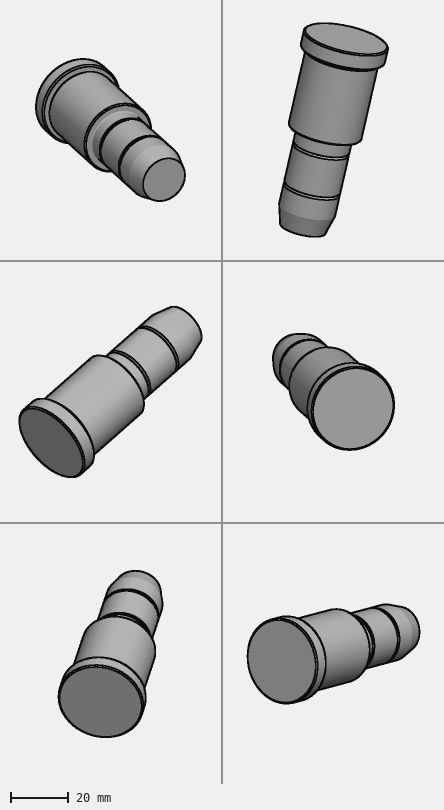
import cadquery as cq
import math

total_length = 71.0
head_diameter = 30.0
head_length = 6.0
body_diameter = 26.0
shoulder_x = 35.0
pilot_diameter = 20.0
edge_size = 0.5
head_back_chamfer = 0.6

taper_start_x = 64.0
taper_angle = 15.0

groove_width = 1.0
pilot_groove_starts = (40.5, 55.45)

head_radius = head_diameter / 2
body_radius = body_diameter / 2
pilot_radius = pilot_diameter / 2
taper_drop = (total_length - taper_start_x) * math.tan(math.radians(taper_angle))
tip_radius = pilot_radius - taper_drop


def add_groove(profile, start_x, width, radius):
    """Continue the profile along X with a semicircular groove."""
    middle = (start_x + width / 2, radius - width / 2)
    return profile.lineTo(start_x, radius).threePointArc(middle, (start_x + width, radius))


profile = (
    cq.Workplane("XY")
    .lineTo(0, head_radius - edge_size)
    .lineTo(edge_size, head_radius)
    .lineTo(head_length - head_back_chamfer, head_radius)
    .lineTo(head_length, head_radius - head_back_chamfer)
)

profile = add_groove(profile, head_length, groove_width, body_radius)
profile = (
    profile.lineTo(shoulder_x - edge_size, body_radius)
    .lineTo(shoulder_x, body_radius - edge_size)
    .lineTo(shoulder_x, pilot_radius + edge_size)
)

fillet_inset = edge_size * (1 - math.sqrt(0.5))
profile = profile.threePointArc(
    (shoulder_x + fillet_inset, pilot_radius + fillet_inset),
    (shoulder_x + edge_size, pilot_radius),
)
for groove_start in pilot_groove_starts:
    profile = add_groove(profile, groove_start, groove_width, pilot_radius)

profile = (
    profile.lineTo(taper_start_x, pilot_radius)
    .lineTo(total_length, tip_radius)
    .lineTo(total_length, 0)
    .close()
)

result = profile.revolve(360, (0, 0, 0), (1, 0, 0))